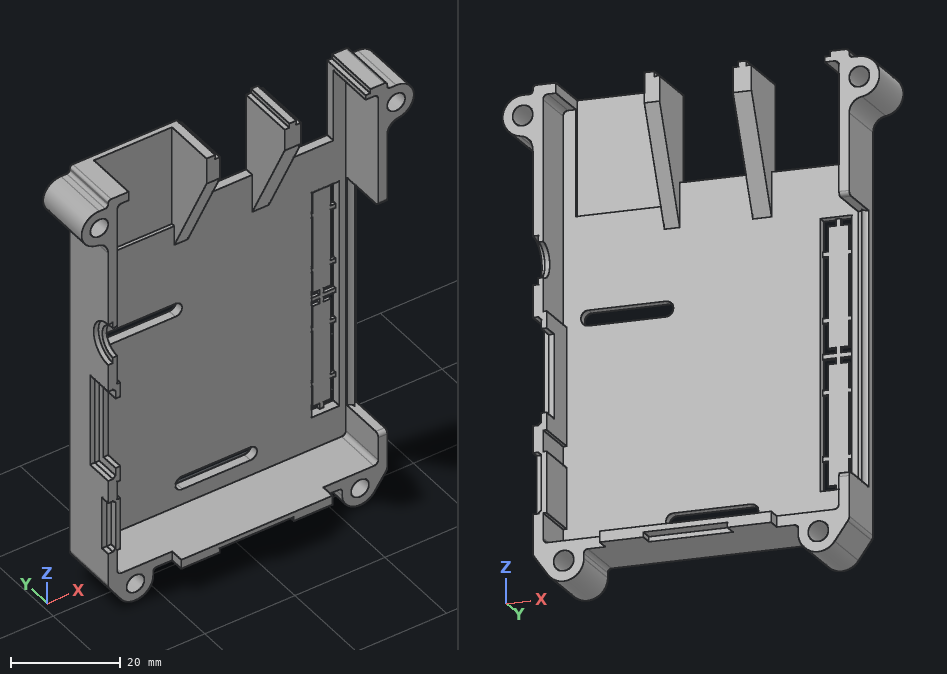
import cadquery as cq
import math


overall_width = 73.8
overall_height = 96.25
overall_depth = 15.5
lip_reach = 3.0
tray_width = 62.0
side_wall = 2.0
bottom_wall = 2.1
floor_thickness = 2.0
inner_corner_radius = 1.0

lug_radius = 3.9
screw_hole_diameter = 3.9
lower_lug_x = 24.9
lower_lug_z = -1.7
lug_drop = 5.6
lug_blend_radius = 2.9
lug_top_blend = 0.7
lug_foot_blend = 0.8
corner_blend_length = 0.5
upper_corner_radius = 0.7

tray_depth = overall_depth - lip_reach
floor_y = tray_depth - floor_thickness
half_width = tray_width / 2
inner_half_width = half_width - side_wall
tray_height = overall_height - lug_radius + lower_lug_z
upper_lug_x = overall_width / 2 - lug_radius
upper_lug_z = tray_height - lug_drop

network_bay_x = (-26.5, -9.1)
network_bay_bottom = 68.0
network_bay_floor = 1.25
usb_bays_x = ((-6.2, 8.2), (11.8, 26.2))
usb_bay_bottom = 72.2
usb_step_width = 1.1
usb_step_height = 1.0

ribs_x = ((network_bay_x[1], usb_bays_x[0][0]), (usb_bays_x[0][1], usb_bays_x[1][0]))
rib_slope_top = 84.7
rib_slope_foot = 63.5

port_recess_depth = 1.1
port_taper = 0.6
port_pad = 0.7
jack_z = 56.8
jack_outer_radius = 4.7
jack_inner_radius = 3.5
video_recess_z = (24.9, 45.8)
video_recess_reach = 5.9
video_pad_z = (23.9, 46.8)
video_opening_z = (27.2, 43.5)
video_opening_reach = 3.9
power_recess_z = (7.9, 19.7)
power_recess_reach = 2.0

gap_z = (9.2, 62.5)
gap_edge_radius = 0.9
ridge_lift = 0.4

lip_width = 33.6
lip_notch_width = 16.5
lip_notch_depth = 1.0

slot_length = 18.1
slot_width = 3.0
slot_centres = ((-16.5, 48.1), (0.2, 7.1))
header_x = (21.4, 27.5)
header_z = (9.5, 62.1)
header_gap = 1.1
header_end_gap = 1.25
bridge_width = 1.0
island_thickness = 0.8
side_bridge_offsets = (6.9, 19.7)


def box(x_range, y_range, z_range):
    """Axis-aligned box from its three (low, high) ranges."""
    low, high = zip(x_range, y_range, z_range)
    size = [high[i] - low[i] for i in range(3)]
    return cq.Workplane("XY").box(*size, centered=False).translate(low)


def front_plane(y):
    """Sketch plane facing -Y at depth y; its axes are X and Z."""
    return cq.Workplane("XZ", origin=(0, y, 0))


def on_circle(centre, radius, angle):
    """Point on a circle at an angle measured from +X toward +Z."""
    return (centre[0] + radius * math.cos(angle), centre[1] + radius * math.sin(angle))


def tray_block():
    """Solid outline with its four lugs, built as a right half and mirrored."""
    upper = (upper_lug_x, upper_lug_z)
    lower = (lower_lug_x, lower_lug_z)
    lug_top = upper_lug_z + lug_radius

    blend_x = half_width + lug_blend_radius
    centre_distance = lug_radius + lug_blend_radius
    blend_z = upper_lug_z - math.sqrt(centre_distance**2 - (blend_x - upper_lug_x) ** 2)
    touch_angle = math.atan2(blend_z - upper_lug_z, blend_x - upper_lug_x)

    corner_distance = math.hypot(half_width - lower_lug_x, lower_lug_z)
    corner_angle = math.atan2(-lower_lug_z, half_width - lower_lug_x)
    tangent_angle = corner_angle - math.acos(lug_radius / corner_distance)
    slope_start = (
        half_width + corner_blend_length * math.sin(tangent_angle),
        -corner_blend_length * math.cos(tangent_angle),
    )
    lug_inner_x = lower_lug_x - lug_radius

    half = (
        front_plane(0)
        .moveTo(0, tray_height)
        .lineTo(half_width - upper_corner_radius, tray_height)
        .tangentArcPoint((half_width, tray_height - upper_corner_radius), relative=False)
        .lineTo(half_width, lug_top + lug_top_blend)
        .tangentArcPoint((half_width + lug_top_blend, lug_top), relative=False)
        .lineTo(upper_lug_x, lug_top)
        .threePointArc(on_circle(upper, lug_radius, 0), on_circle(upper, lug_radius, touch_angle))
        .tangentArcPoint((half_width, blend_z), relative=False)
        .lineTo(half_width, corner_blend_length)
        .tangentArcPoint(slope_start, relative=False)
        .lineTo(*on_circle(lower, lug_radius, tangent_angle))
        .threePointArc(on_circle(lower, lug_radius, -math.pi / 2), (lug_inner_x, lower_lug_z))
        .lineTo(lug_inner_x, -lug_foot_blend)
        .tangentArcPoint((lug_inner_x - lug_foot_blend, 0), relative=False)
        .lineTo(0, 0)
        .close()
        .extrude(-tray_depth)
    )
    return half.union(half.mirror("YZ"))


def screw_holes():
    centres = [(side * upper_lug_x, upper_lug_z) for side in (-1, 1)]
    centres += [(side * lower_lug_x, lower_lug_z) for side in (-1, 1)]
    return front_plane(0).pushPoints(centres).circle(screw_hole_diameter / 2).extrude(-tray_depth)


def cavity():
    x_range = (-inner_half_width, inner_half_width)
    z_range = (bottom_wall, tray_height - side_wall)
    return box(x_range, (0, floor_y), z_range).edges("|Y").fillet(inner_corner_radius)


def bay_cutters():
    """Openings through the top wall: one network bay and two USB bays."""
    bay_back = tray_depth - network_bay_floor
    cutters = box(network_bay_x, (0, bay_back), (network_bay_bottom, tray_height))
    for left, right in usb_bays_x:
        cutters = cutters.union(box((left, right), (0, tray_depth), (usb_bay_bottom, tray_height)))
        step_x = (left - usb_step_width, right + usb_step_width)
        step_z = (tray_height - usb_step_height, tray_height)
        cutters = cutters.union(box(step_x, (0, tray_depth), step_z))
    return cutters


def rib(x_range):
    """Upright rib whose lower front edge slopes back to the floor."""
    left, right = x_range
    profile = [
        (0, tray_height),
        (0, rib_slope_top),
        (floor_y, rib_slope_foot),
        (tray_depth, rib_slope_foot),
        (tray_depth, tray_height),
    ]
    return cq.Workplane("YZ", origin=(left, 0, 0)).polyline(profile).close().extrude(right - left)


def port_pad_block(z_range):
    x_range = (-half_width, -inner_half_width + port_pad)
    return box(x_range, (0, tray_depth), z_range)


def port_recess(z_range, reach):
    """Recess in the left wall, open at the rim, tapering in at its bottom."""
    bottom, top = z_range
    inner_x = -half_width + port_recess_depth
    straight = box((-half_width, inner_x), (0, reach), z_range)
    height = top - bottom
    taper = (
        cq.Workplane("YZ", origin=(inner_x, 0, (bottom + top) / 2))
        .rect(2 * reach, height)
        .workplane(offset=port_taper)
        .rect(2 * (reach - port_taper), height - 2 * port_taper)
        .loft(ruled=True)
    )
    return straight.union(taper)


def left_port_cutters():
    wall_plane = cq.Workplane("YZ", origin=(-half_width, 0, 0)).center(0, jack_z)
    jack = wall_plane.circle(jack_outer_radius).extrude(port_recess_depth)
    jack = jack.union(wall_plane.circle(jack_inner_radius).extrude(side_wall))
    opening_x = (-half_width, -inner_half_width + port_pad)
    video_opening = box(opening_x, (0, video_opening_reach), video_opening_z)
    return (
        jack.union(port_recess(video_recess_z, video_recess_reach))
        .union(video_opening)
        .union(port_recess(power_recess_z, power_recess_reach))
    )


def right_gap_cutter():
    """Gap with rounded rim edges, taking the right wall down to the floor."""
    bottom, top = gap_z
    radius = gap_edge_radius
    return (
        cq.Workplane("YZ", origin=(inner_half_width, 0, 0))
        .moveTo(0, bottom - radius)
        .radiusArc((radius, bottom), radius)
        .lineTo(floor_y, bottom)
        .lineTo(floor_y, top)
        .lineTo(radius, top)
        .radiusArc((0, top + radius), radius)
        .close()
        .extrude(side_wall)
    )


def right_ridge():
    """Half-round ridge along the floor edge inside the gap."""
    bottom, top = gap_z
    radius = side_wall / 2
    ridge_foot = ridge_lift + floor_thickness
    return (
        cq.Workplane("XY", origin=(half_width - radius, floor_y - ridge_lift, bottom))
        .moveTo(-radius, ridge_foot)
        .lineTo(-radius, 0)
        .radiusArc((0, -radius), radius)
        .radiusArc((radius, 0), radius)
        .lineTo(radius, ridge_foot)
        .close()
        .extrude(top - bottom)
    )


def bottom_lip():
    lip = box((-lip_width / 2, lip_width / 2), (-lip_reach, 0), (0, bottom_wall))
    notch_x = (-lip_notch_width / 2, lip_notch_width / 2)
    return lip.cut(box(notch_x, (-lip_reach, 0), (0, lip_notch_depth)))


def strap_slots():
    return (
        front_plane(floor_y)
        .pushPoints(slot_centres)
        .slot2D(slot_length, slot_width)
        .extrude(-floor_thickness)
    )


def header_islands():
    """Two thin knock-out plates held in the header window by narrow bridges."""
    y_range = (tray_depth - island_thickness, tray_depth)
    left, right = header_x
    bottom, top = header_z
    middle_x = (left + right) / 2
    middle_z = (bottom + top) / 2
    half_bridge = bridge_width / 2

    spine = box((middle_x - half_bridge, middle_x + half_bridge), y_range, header_z)
    islands = spine.union(box(header_x, y_range, (middle_z - half_bridge, middle_z + half_bridge)))
    island_x = (left + header_gap, right - header_gap)
    inner_end = half_bridge + header_gap
    outer_end = (top - bottom) / 2 - header_end_gap
    for side in (-1, 1):
        ends = sorted((middle_z + side * inner_end, middle_z + side * outer_end))
        islands = islands.union(box(island_x, y_range, ends))
        for offset in side_bridge_offsets:
            bridge_z = middle_z + side * offset
            bridge = box(header_x, y_range, (bridge_z - half_bridge, bridge_z + half_bridge))
            islands = islands.union(bridge)
    return islands


def header_window():
    return box(header_x, (floor_y, tray_depth), header_z).cut(header_islands())


tray = tray_block().cut(screw_holes()).cut(cavity())
for rib_x in ribs_x:
    tray = tray.union(rib(rib_x))
for pad_z in (video_pad_z, power_recess_z):
    tray = tray.union(port_pad_block(pad_z))
tray = tray.cut(bay_cutters()).cut(left_port_cutters())
tray = tray.cut(right_gap_cutter()).union(right_ridge())
tray = tray.union(bottom_lip())
result = tray.cut(strap_slots()).cut(header_window())